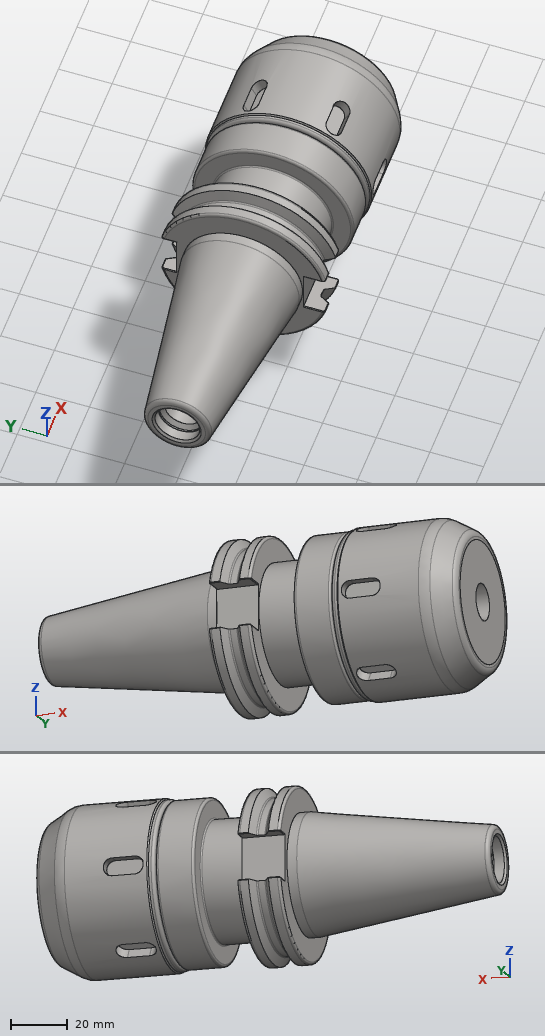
import cadquery as cq
import math

OVERALL_LENGTH = 163.3

GAUGE_DIAMETER = 44.4
GAUGE_X = 67.9
TAPER_RATIO = 7 / 24
TAPER_END_ROUND = 1.8

FLANGE_DIAMETER = 63.3
FLANGE_START_X = 71.5
FLANGE_END_X = 87.3
FLANGE_ROUND = 1.0
GROOVE_CENTRE_X = 79.5
GROOVE_FLOOR_WIDTH = 3.3
GROOVE_FLOOR_DIAMETER = 56.2
GROOVE_FLOOR_FILLET = 0.7
GROOVE_WALL_ANGLE = 30

KEYWAY_WIDTH = 16.7
KEYWAY_EDGE_CHAMFER = 0.3
KEYWAY_FLOOR_FRONT = 22.5
KEYWAY_FLOOR_BACK = 24.8

COLLAR_DIAMETER = 60.0
COLLAR_START_X = 103.3
COLLAR_END_X = 117.4
COLLAR_REAR_ROUND = 1.0
COLLAR_FRONT_ROUND = 0.8
NECK_FILLET = 0.5

MOUTH_DIAMETER = 18.3
COUNTERBORE_DIAMETER = 16.7
COUNTERBORE_END_X = 4.5
CONE_DIAMETER = 16.3
CONE_START_X = 5.2
CONE_END_X = 6.9
BORE_DIAMETER = 13.4

NUT_GAP = 0.3
NUT_START_X = COLLAR_END_X + NUT_GAP
NUT_DIAMETER = 62.0
BAND_DIAMETER = 61.0
BAND_END_X = 120.0
BAND_ROUND = 1.3
NUT_FRONT_ANGLE = 30
NUT_CONE_START_X = 153.0
NUT_SHOULDER_ROUND = 8.0
NUT_FRONT_ROUND = 3.1

SLOT_COUNT = 6
SLOT_WIDTH = 6.5
SLOT_LENGTH = 14.7
SLOT_CENTRE_X = 129.1
SLOT_FLOOR_DISTANCE = 27.0

SMALLEST_RADIUS = cq.selectors.RadiusNthSelector(0)
LARGEST_RADIUS = cq.selectors.RadiusNthSelector(-1)


def revolve_about_x(profile):
    """Turn a closed profile, drawn as (x, radius), once around the X axis."""
    return profile.close().revolve(360, (0, 0, 0), (1, 0, 0))


def cylinder(diameter, start_x, end_x):
    """Solid cylinder on the X axis."""
    return cq.Workplane("YZ", origin=(start_x, 0, 0)).circle(diameter / 2).extrude(end_x - start_x)


def make_taper():
    large_radius = GAUGE_DIAMETER / 2
    small_radius = large_radius - GAUGE_X * TAPER_RATIO / 2
    profile = (
        cq.Workplane("XY")
        .lineTo(0, small_radius)
        .lineTo(GAUGE_X, large_radius)
        .lineTo(GAUGE_X, 0)
    )
    return revolve_about_x(profile).faces("<X").edges().fillet(TAPER_END_ROUND)


def make_flange():
    flange = cylinder(FLANGE_DIAMETER, FLANGE_START_X, FLANGE_END_X)
    flange = flange.faces("<X or >X").edges().fillet(FLANGE_ROUND)
    flange = flange.cut(make_keyways())
    wall_edges = flange.faces("|Z").edges("(not |X) or >Y or <Y")
    flange = wall_edges.chamfer(KEYWAY_EDGE_CHAMFER)
    return flange.cut(make_flange_groove())


def make_flange_groove():
    """V-shaped ring with a flat floor, removed from the flange rim."""
    floor_radius = GROOVE_FLOOR_DIAMETER / 2
    rim_radius = FLANGE_DIAMETER / 2
    half_floor = GROOVE_FLOOR_WIDTH / 2
    half_mouth = half_floor + (rim_radius - floor_radius) * math.tan(math.radians(GROOVE_WALL_ANGLE))
    profile = (
        cq.Workplane("XY")
        .moveTo(GROOVE_CENTRE_X - half_floor, floor_radius)
        .lineTo(GROOVE_CENTRE_X - half_mouth, rim_radius)
        .lineTo(GROOVE_CENTRE_X + half_mouth, rim_radius)
        .lineTo(GROOVE_CENTRE_X + half_floor, floor_radius)
    )
    floor_edges = revolve_about_x(profile).edges("%CIRCLE").edges(SMALLEST_RADIUS)
    return floor_edges.fillet(GROOVE_FLOOR_FILLET)


def make_keyways():
    """Two drive keyways of different depth on opposite sides of the flange."""
    length = FLANGE_END_X - FLANGE_START_X
    block = cq.Workplane("XY").box(length, FLANGE_DIAMETER, KEYWAY_WIDTH)
    block = block.translate(((FLANGE_START_X + FLANGE_END_X) / 2, 0, 0))
    front = block.translate((0, -KEYWAY_FLOOR_FRONT - FLANGE_DIAMETER / 2, 0))
    back = block.translate((0, KEYWAY_FLOOR_BACK + FLANGE_DIAMETER / 2, 0))
    return front.union(back)


def make_collar():
    collar = cylinder(COLLAR_DIAMETER, COLLAR_START_X, COLLAR_END_X)
    collar = collar.faces("<X").edges().fillet(COLLAR_REAR_ROUND)
    return collar.faces(">X").edges().fillet(COLLAR_FRONT_ROUND)


def make_neck_fillet():
    """Concave ring that blends the neck into the rear face of the collar."""
    neck_radius = GAUGE_DIAMETER / 2
    arc_reach = NECK_FILLET * math.sqrt(0.5)
    profile = (
        cq.Workplane("XY")
        .moveTo(COLLAR_START_X - NECK_FILLET, 0)
        .lineTo(COLLAR_START_X - NECK_FILLET, neck_radius)
        .threePointArc(
            (COLLAR_START_X - NECK_FILLET + arc_reach, neck_radius + NECK_FILLET - arc_reach),
            (COLLAR_START_X, neck_radius + NECK_FILLET),
        )
        .lineTo(COLLAR_START_X, 0)
    )
    return revolve_about_x(profile)


def make_bore():
    """Stepped through bore, widest at the small end of the taper."""
    counterbore_radius = COUNTERBORE_DIAMETER / 2
    mouth_chamfer = (MOUTH_DIAMETER - COUNTERBORE_DIAMETER) / 2
    profile = (
        cq.Workplane("XY")
        .lineTo(0, MOUTH_DIAMETER / 2)
        .lineTo(mouth_chamfer, counterbore_radius)
        .lineTo(COUNTERBORE_END_X, counterbore_radius)
        .lineTo(COUNTERBORE_END_X, CONE_DIAMETER / 2)
        .lineTo(CONE_START_X, CONE_DIAMETER / 2)
        .lineTo(CONE_END_X, BORE_DIAMETER / 2)
        .lineTo(OVERALL_LENGTH, BORE_DIAMETER / 2)
        .lineTo(OVERALL_LENGTH, 0)
    )
    return revolve_about_x(profile)


def make_holder():
    neck_and_nose = cylinder(GAUGE_DIAMETER, GAUGE_X, OVERALL_LENGTH)
    holder = make_taper().union(neck_and_nose)
    holder = holder.union(make_flange())
    holder = holder.union(make_collar())
    holder = holder.union(make_neck_fillet())
    return holder.cut(make_bore())


def make_nut_blank():
    """Nut without slots: stepped rear band, cylinder and rounded front cone."""
    nut_radius = NUT_DIAMETER / 2
    band_radius = BAND_DIAMETER / 2
    step = nut_radius - band_radius
    cone_drop = (OVERALL_LENGTH - NUT_CONE_START_X) * math.tan(math.radians(NUT_FRONT_ANGLE))
    profile = (
        cq.Workplane("XY")
        .moveTo(NUT_START_X, 0)
        .lineTo(NUT_START_X, band_radius)
        .lineTo(BAND_END_X, band_radius)
        .lineTo(BAND_END_X + step, nut_radius)
        .lineTo(NUT_CONE_START_X, nut_radius)
        .lineTo(OVERALL_LENGTH, nut_radius - cone_drop)
        .lineTo(OVERALL_LENGTH, 0)
    )
    blank = revolve_about_x(profile)
    blank = blank.faces("<X").edges().fillet(BAND_ROUND)
    blank = blank.faces(">X").edges().fillet(NUT_FRONT_ROUND)
    shoulder_edge = blank.edges("%CIRCLE").edges(LARGEST_RADIUS).edges(">X")
    return shoulder_edge.fillet(NUT_SHOULDER_ROUND)


def make_spanner_slot(angle):
    """Flat-bottomed rounded slot, turned around the X axis from the -Y side."""
    slot = (
        cq.Workplane("XZ", origin=(SLOT_CENTRE_X, -SLOT_FLOOR_DISTANCE, 0))
        .slot2D(SLOT_LENGTH, SLOT_WIDTH)
        .extrude(NUT_DIAMETER / 2)
    )
    return slot.rotate((0, 0, 0), (1, 0, 0), angle)


def make_nut():
    nut = make_nut_blank().cut(cylinder(GAUGE_DIAMETER, NUT_START_X, OVERALL_LENGTH))
    for index in range(SLOT_COUNT):
        nut = nut.cut(make_spanner_slot(index * 360 / SLOT_COUNT))
    return nut


holder = make_holder()
nut = make_nut()
result = cq.Compound.makeCompound([holder.solids().val(), nut.solids().val()])